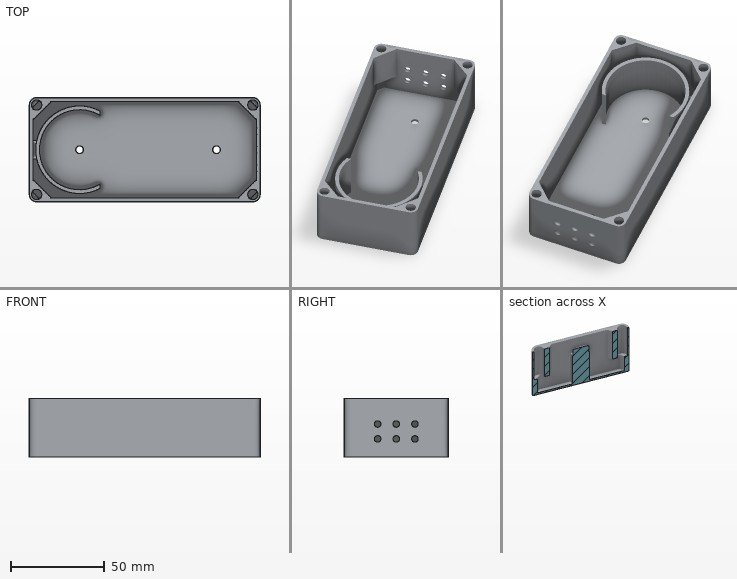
import cadquery as cq

LENGTH = 124.0
WIDTH = 56.0
HEIGHT = 31.5
CORNER_RADIUS = 4.0
WALL = 2.0
FLOOR = 1.5

POST_HEIGHT = 20.0
POST_CHAMFER = 10.0
LOWER_CHAMFER = 3.0

SCREW_HOLE_DIAMETER = 5.5

FLOOR_HOLE_DIAMETER = 4.0
CRADLE_HOLE_X = -35.0
FAR_HOLE_X = 38.5

CRADLE_INNER_RADIUS = 21.5
CRADLE_THICKNESS = 2.0
CRADLE_HEIGHT = 24.5
CRADLE_OPENING = 11.0

RIB_WIDTH = 10.0
RIB_HEIGHT = 20.0

VENT_DIAMETER = 3.5
VENT_COLUMNS = 3
VENT_ROWS = 2
VENT_COLUMN_PITCH = 10.0
VENT_ROW_PITCH = 8.0
VENT_MIDDLE_Z = HEIGHT / 2 - 2.0

CAVITY_LENGTH = LENGTH - 2 * WALL
CAVITY_WIDTH = WIDTH - 2 * WALL
POST_BOTTOM_Z = HEIGHT - POST_HEIGHT
CRADLE_OUTER_RADIUS = CRADLE_INNER_RADIUS + CRADLE_THICKNESS


def chamfered_block(bottom_z, top_z, chamfer):
    """Block of the cavity's length and width with 45 degree vertical corners."""
    return (
        cq.Workplane("XY", origin=(0, 0, bottom_z))
        .rect(CAVITY_LENGTH, CAVITY_WIDTH)
        .extrude(top_z - bottom_z)
        .edges("|Z")
        .chamfer(chamfer)
    )


def box_shell():
    """Open-topped box with a solid screw post in each upper corner."""
    outer = (
        cq.Workplane("XY")
        .rect(LENGTH, WIDTH)
        .extrude(HEIGHT)
        .edges("|Z")
        .fillet(CORNER_RADIUS)
    )
    lower_cavity = chamfered_block(FLOOR, POST_BOTTOM_Z, LOWER_CHAMFER)
    upper_cavity = chamfered_block(POST_BOTTOM_Z, HEIGHT, POST_CHAMFER)
    return outer.cut(lower_cavity).cut(upper_cavity)


def screw_holes():
    """One hole down the full height of each corner post."""
    return (
        cq.Workplane("XY", origin=(0, 0, POST_BOTTOM_Z))
        .rect(LENGTH - 2 * CORNER_RADIUS, WIDTH - 2 * CORNER_RADIUS, forConstruction=True)
        .vertices()
        .circle(SCREW_HOLE_DIAMETER / 2)
        .extrude(POST_HEIGHT)
    )


def floor_holes():
    """Two holes through the floor on the long centre line."""
    return (
        cq.Workplane("XY")
        .pushPoints([(CRADLE_HOLE_X, 0), (FAR_HOLE_X, 0)])
        .circle(FLOOR_HOLE_DIAMETER / 2)
        .extrude(FLOOR)
    )


def cradle():
    """Ring open towards +X, with its ends cut flat across X."""
    ring = (
        cq.Workplane("XY", origin=(CRADLE_HOLE_X, 0, FLOOR))
        .circle(CRADLE_OUTER_RADIUS)
        .circle(CRADLE_INNER_RADIUS)
        .extrude(CRADLE_HEIGHT)
    )
    opening = cq.Workplane("XY", origin=(CRADLE_HOLE_X + CRADLE_OPENING, 0, FLOOR)).box(
        CRADLE_OUTER_RADIUS,
        2 * CRADLE_OUTER_RADIUS,
        CRADLE_HEIGHT,
        centered=(False, True, False),
    )
    return ring.cut(opening)


def cradle_rib():
    """Rib from the -X end wall to the outside of the ring."""
    start_x = -CAVITY_LENGTH / 2
    rib = cq.Workplane("XY", origin=(start_x, 0, FLOOR)).box(
        CRADLE_HOLE_X - start_x,
        RIB_WIDTH,
        RIB_HEIGHT,
        centered=(False, True, False),
    )
    ring_disc = (
        cq.Workplane("XY", origin=(CRADLE_HOLE_X, 0, FLOOR))
        .circle(CRADLE_OUTER_RADIUS)
        .extrude(RIB_HEIGHT)
    )
    return rib.cut(ring_disc)


def vent_holes():
    """Grid of holes through the +X end wall, centred across its width."""
    return (
        cq.Workplane("YZ", origin=(CAVITY_LENGTH / 2, 0, VENT_MIDDLE_Z))
        .rarray(VENT_COLUMN_PITCH, VENT_ROW_PITCH, VENT_COLUMNS, VENT_ROWS)
        .circle(VENT_DIAMETER / 2)
        .extrude(WALL)
    )


body = box_shell().union(cradle()).union(cradle_rib())
result = body.cut(screw_holes()).cut(floor_holes()).cut(vent_holes())